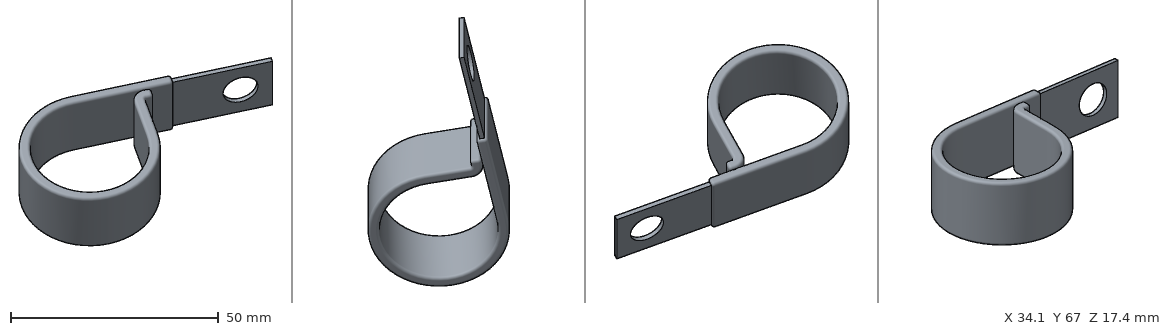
import cadquery as cq
import math


bore_diameter = 28.6
band_thickness = 2.75
band_width = 17.4
strap_thickness = 1.2
band_end_y = 25.0
strap_end_y = 50.0
hole_diameter = 8.7
hole_to_tip = 8.0
hook_inner_radius = 0.5
hook_tip_y = 19.2

inner_radius = bore_diameter / 2
outer_radius = inner_radius + band_thickness
middle_radius = (inner_radius + outer_radius) / 2
edge_radius = (band_thickness - strap_thickness) / 2
strap_width = band_width - 2 * edge_radius
hook_outer_radius = hook_inner_radius + band_thickness
hook_face_x = -inner_radius
hook_back_x = hook_face_x + band_thickness
bend_center_x = hook_face_x + hook_outer_radius
bend_center_y = inner_radius + hook_outer_radius


def bend_middle(radius):
    """Point halfway round an arc of the hook bend, on the side facing the straight leg."""
    reach = radius * math.sqrt(0.5)
    return bend_center_x - reach, bend_center_y - reach


def arc_middle(radius):
    """Point halfway round the upper right quarter of the loop."""
    reach = radius * math.sqrt(0.5)
    return reach, reach


def make_straight_leg():
    """Cushioned leg beside the bore, rounded everywhere but where it joins the loop."""
    leg = (
        cq.Workplane("XY")
        .box(band_thickness, band_end_y, band_width, centered=(True, False, True))
        .translate((-middle_radius, 0, 0))
    )
    rounded_edges = leg.edges("not <Y")
    return rounded_edges.fillet(edge_radius)


def make_loop():
    """Three quarters of a ring, a tangent run along X and the hook at its end."""
    loop = (
        cq.Workplane("XY")
        .workplane(offset=-band_width / 2)
        .moveTo(-outer_radius, 0)
        .threePointArc((0, -outer_radius), (outer_radius, 0))
        .threePointArc(arc_middle(outer_radius), (0, outer_radius))
        .lineTo(bend_center_x, outer_radius)
        .threePointArc(bend_middle(hook_inner_radius), (hook_back_x, bend_center_y))
        .lineTo(hook_back_x, hook_tip_y)
        .lineTo(hook_face_x, hook_tip_y)
        .lineTo(hook_face_x, bend_center_y)
        .threePointArc(bend_middle(hook_outer_radius), (bend_center_x, inner_radius))
        .lineTo(0, inner_radius)
        .threePointArc(arc_middle(inner_radius), (inner_radius, 0))
        .threePointArc((0, -inner_radius), (-inner_radius, 0))
        .close()
        .extrude(band_width, clean=False)
    )
    joint_edges = cq.selectors.BoxSelector(
        (-outer_radius - edge_radius, -edge_radius, -band_width),
        (-inner_radius + edge_radius, edge_radius, band_width),
    )
    rim_edges = loop.faces("|Z").edges(cq.selectors.InverseSelector(joint_edges))
    tip_edges = loop.faces(">Y").edges("|Z")
    return rim_edges.add(tip_edges).fillet(edge_radius)


def make_strap():
    """Bare strap beyond the cushion, with its mounting hole."""
    length = strap_end_y - band_end_y
    strap = (
        cq.Workplane("XY")
        .box(strap_thickness, length, strap_width, centered=(True, False, True))
        .translate((-middle_radius, band_end_y, 0))
    )
    hole = (
        cq.Workplane("YZ")
        .center(strap_end_y - hole_to_tip, 0)
        .circle(hole_diameter / 2)
        .extrude(-outer_radius)
    )
    return strap.cut(hole)


band = make_straight_leg().union(make_loop(), clean=False)
result = band.union(make_strap(), clean=False)